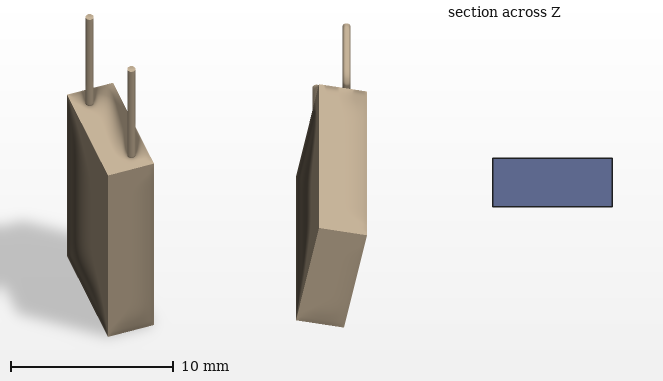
import cadquery as cq

body_width = 7.4
body_depth = 3.0
total_height = 21.8

lead_diameter = 0.5
lead_length = 7.59
lead_pitch_x = 5.08
lead_pitch_y = 0.9

body_height = total_height - lead_length

body = cq.Workplane("XY").box(body_width, body_depth, body_height, centered=(True, True, False))

lead_positions = [(side * lead_pitch_x / 2, side * lead_pitch_y / 2) for side in (-1, 1)]
result = (
    body.faces(">Z")
    .workplane()
    .pushPoints(lead_positions)
    .circle(lead_diameter / 2)
    .extrude(lead_length)
)